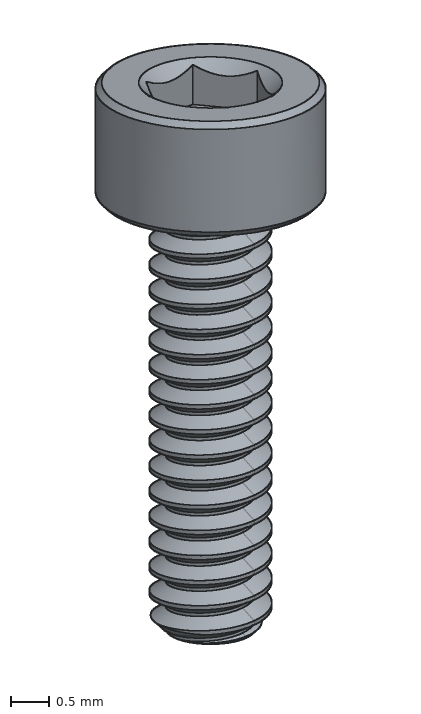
import cadquery as cq
import math

total_length = 7.6

head_diameter = 3.0
head_height = 1.595
head_chamfer = 0.08

hex_across_flats = 1.5
hex_corner_diameter = hex_across_flats / math.cos(math.pi / 6)
socket_depth = 0.62
countersink_radius = 0.935
drill_rim_radius = 0.335
drill_end_radius = 0.13
drill_depth = drill_rim_radius - drill_end_radius

shank_length = total_length - head_height
major_radius = 0.8
root_radius = 0.585
thread_depth = major_radius - root_radius
pitch = 0.35
root_flat = 0.045
flank_slope = math.tan(math.radians(30))
neck_fillet = 0.075
first_root_drop = 0.3
cut_overrun = 0.015


def make_head():
    """Chamfered cylinder."""
    return cq.Workplane("XY").circle(head_diameter / 2).extrude(head_height).edges().chamfer(head_chamfer)


def make_socket():
    """Hexagonal pocket with a countersunk mouth and a conical drill point in its floor."""
    top = cq.Workplane("XY").workplane(offset=head_height)
    hexagon = top.transformed(rotate=(0, 0, 90)).polygon(6, hex_corner_diameter).extrude(-socket_depth)
    countersink = cq.Solid.makeCone(
        countersink_radius, 0, countersink_radius, cq.Vector(0, 0, head_height), cq.Vector(0, 0, -1)
    )
    mouth = top.circle(countersink_radius).extrude(-socket_depth).intersect(cq.Workplane(countersink))
    drill_point = cq.Solid.makeCone(
        drill_rim_radius,
        drill_end_radius,
        drill_depth,
        cq.Vector(0, 0, head_height - socket_depth),
        cq.Vector(0, 0, -1),
    )
    return hexagon.union(mouth).union(cq.Workplane(drill_point))


def make_neck():
    """Ring under the head: a concave fillet down to the crests, then a cone that closes the thread."""
    cone_end = -neck_fillet - thread_depth * flank_slope
    arc_offset = neck_fillet * (1 - math.sqrt(0.5))
    return (
        cq.Workplane("XZ")
        .lineTo(major_radius + neck_fillet, 0)
        .threePointArc((major_radius + arc_offset, -arc_offset), (major_radius, -neck_fillet))
        .lineTo(root_radius, cone_end)
        .lineTo(0, cone_end)
        .close()
        .revolve(360, (0, 0), (0, 1))
    )


def make_groove_turn():
    """One right-handed turn of the thread groove, starting on the +X side at z = 0."""
    outer_radius = major_radius + cut_overrun
    half_root = root_flat / 2
    half_mouth = half_root + (outer_radius - root_radius) * flank_slope
    corners = [
        (root_radius, -half_root),
        (outer_radius, -half_mouth),
        (outer_radius, half_mouth),
        (root_radius, half_root),
    ]
    edges = [cq.Wire.makeHelix(pitch, pitch, radius, cq.Vector(0, 0, z)).Edges()[0] for radius, z in corners]
    faces = [cq.Face.makeRuledSurface(edges[i - 1], edges[i]) for i in range(len(edges))]
    for end_z in (0, pitch):
        section = [cq.Vector(radius, 0, z + end_z) for radius, z in corners]
        faces.append(cq.Face.makeFromWires(cq.Wire.makePolygon(section, close=True)))
    return cq.Workplane(cq.Solid.makeSolid(cq.Shell.makeShell(faces)))


def make_threaded_shank():
    """Cylinder below the neck, chamfered at the tip, with the groove cut turn by turn."""
    shank = (
        cq.Workplane("XY")
        .workplane(offset=-neck_fillet)
        .circle(major_radius)
        .extrude(-(shank_length - neck_fillet))
        .faces("<Z")
        .chamfer(thread_depth)
    )
    groove_turn = make_groove_turn()
    turn_count = math.ceil(shank_length / pitch) + 1
    for turn in range(turn_count):
        shank = shank.cut(groove_turn.translate((0, 0, -first_root_drop - turn * pitch)))
    return shank


head = make_head().cut(make_socket())
result = head.union(make_neck()).union(make_threaded_shank())